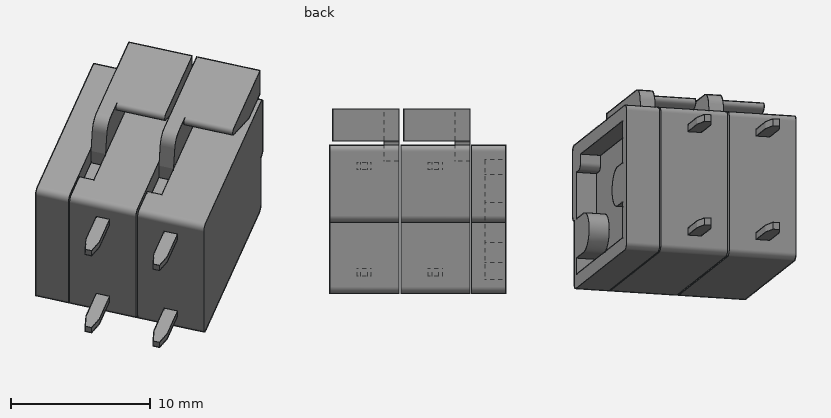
import cadquery as cq
import math


OVERALL_DEPTH = 17.6
BODY_DEPTH = 14.12
BODY_HEIGHT = 10.61
EDGE_RADIUS = 0.45
BACK_STEP = 0.45
BACK_STEP_Z = 5.09

HOUSING_COUNT = 2
HOUSING_WIDTH = 4.96
HOUSING_PITCH = 5.09
PLATE_WIDTH = 2.46
PLATE_GAP = 0.09
FIRST_HOUSING_X = PLATE_WIDTH + PLATE_GAP

WALL = 1.02
POCKET_DEPTH = 1.5
TONGUE_WIDTH = 2.87
BACK_TONGUE_Z = 3.65
BACK_TONGUE_LENGTH = 3.35
FRONT_TONGUE_Z = 5.09
FRONT_TONGUE_LENGTH = 2.75
CORNER_BLOCK_SIZE = 1.1

LEVER_TOP = 13.2
LEVER_WIDTH = 4.75
ARM_WIDTH = 1.1
ARM_BACK_Y = 10.75
ARM_TOP_Y = 5.56
ARM_FRONT_Y = 5.1
ARM_TOP_RADIUS = 1.02
HEAD_BOTTOM = 10.9
HEAD_NOSE_Y = 7.55
HEAD_NOSE_RADIUS = 0.3
HEAD_SLOPE_ANGLE = 65.0
NECK_RADIUS = 0.18

SLOT_FRONT_Y = 2.32
SLOT_DEPTH = 1.15
SLOT_FLOOR = BODY_HEIGHT - SLOT_DEPTH

PIN_WIDTH = 1.0
PIN_OFFSET = 2.5
PIN_TIP_WIDTH = 0.5
PIN_THICKNESS = 0.51
PIN_LENGTH = OVERALL_DEPTH - BODY_DEPTH
PIN_TAPER_LENGTH = 1.02
PIN_HEIGHTS = (1.53, 9.12)


def side_sketch(x):
    """Sketch plane facing +X at the given X; its coordinates are (Y, Z)."""
    return cq.Workplane("YZ", origin=(x, 0, 0))


def body_block(x, width):
    """Rounded block with the stepped back face shared by plate and housings."""
    lower_back_y = BODY_DEPTH - BACK_STEP
    return (
        side_sketch(x)
        .moveTo(0, 0)
        .lineTo(lower_back_y, 0)
        .lineTo(lower_back_y, BACK_STEP_Z)
        .radiusArc((BODY_DEPTH, BACK_STEP_Z + BACK_STEP), -BACK_STEP)
        .lineTo(BODY_DEPTH, BODY_HEIGHT)
        .lineTo(0, BODY_HEIGHT)
        .close()
        .extrude(width)
        .edges("|X and (<Z or >Z)")
        .fillet(EDGE_RADIUS)
    )


def tongue(root_y, length, direction, z):
    """Round-ended tongue that reaches from a pocket wall into the pocket."""
    radius = TONGUE_WIDTH / 2
    round_y = root_y + direction * (length - radius)
    bar = (
        side_sketch(0)
        .center((root_y + round_y) / 2, z)
        .rect(abs(round_y - root_y), TONGUE_WIDTH)
        .extrude(POCKET_DEPTH)
    )
    return bar.union(side_sketch(0).center(round_y, z).circle(radius).extrude(POCKET_DEPTH))


def make_end_plate():
    pocket_back_y = BODY_DEPTH - WALL
    pocket_top = BODY_HEIGHT - WALL
    pocket = cq.Workplane("XY").box(
        POCKET_DEPTH, pocket_back_y - WALL, pocket_top - WALL, centered=False
    ).translate((0, WALL, WALL))
    corner_block = (
        cq.Workplane("XY")
        .box(POCKET_DEPTH, CORNER_BLOCK_SIZE, CORNER_BLOCK_SIZE, centered=False)
        .translate((0, pocket_back_y - CORNER_BLOCK_SIZE, pocket_top - CORNER_BLOCK_SIZE))
        .edges("|X and <Y and <Z")
        .fillet(EDGE_RADIUS)
    )
    pocket = (
        pocket.cut(corner_block)
        .cut(tongue(pocket_back_y, BACK_TONGUE_LENGTH, -1, BACK_TONGUE_Z))
        .cut(tongue(WALL, FRONT_TONGUE_LENGTH, 1, FRONT_TONGUE_Z))
    )
    return body_block(0, PLATE_WIDTH).cut(pocket)


def make_housing(x):
    slot = cq.Workplane("XY").box(
        ARM_WIDTH, ARM_BACK_Y - SLOT_FRONT_Y, SLOT_DEPTH, centered=False
    ).translate((x, SLOT_FRONT_Y, SLOT_FLOOR))
    return body_block(x, HOUSING_WIDTH).cut(slot)


def lever_arm(x):
    """Narrow arm that stands in the housing slot and carries the head."""
    return (
        side_sketch(x)
        .moveTo(ARM_FRONT_Y, SLOT_FLOOR)
        .lineTo(ARM_BACK_Y, SLOT_FLOOR)
        .lineTo(ARM_BACK_Y, HEAD_BOTTOM - NECK_RADIUS)
        .radiusArc((ARM_BACK_Y + NECK_RADIUS, HEAD_BOTTOM), NECK_RADIUS)
        .lineTo(BODY_DEPTH, HEAD_BOTTOM)
        .lineTo(BODY_DEPTH, LEVER_TOP)
        .lineTo(ARM_TOP_Y, LEVER_TOP)
        .lineTo(ARM_FRONT_Y, BODY_HEIGHT)
        .close()
        .extrude(ARM_WIDTH)
        .edges("|X and >Z")
        .edges("<Y")
        .fillet(ARM_TOP_RADIUS)
    )


def lever_head(x):
    """Wide finger plate with a rounded nose and a sloping front below it."""
    tilt = math.radians(HEAD_SLOPE_ANGLE)
    nose_centre_y = HEAD_NOSE_Y + HEAD_NOSE_RADIUS
    nose_centre_z = LEVER_TOP - HEAD_NOSE_RADIUS
    slope_top_y = nose_centre_y - HEAD_NOSE_RADIUS * math.cos(tilt)
    slope_top_z = nose_centre_z - HEAD_NOSE_RADIUS * math.sin(tilt)
    slope_bottom_y = slope_top_y + (slope_top_z - HEAD_BOTTOM) * math.tan(tilt)
    return (
        side_sketch(x)
        .moveTo(BODY_DEPTH, HEAD_BOTTOM)
        .lineTo(BODY_DEPTH, LEVER_TOP)
        .lineTo(nose_centre_y, LEVER_TOP)
        .threePointArc((HEAD_NOSE_Y, nose_centre_z), (slope_top_y, slope_top_z))
        .lineTo(slope_bottom_y, HEAD_BOTTOM)
        .close()
        .extrude(LEVER_WIDTH)
    )


def make_lever(x):
    return lever_arm(x).union(lever_head(x))


def make_pin(centre_x, centre_z):
    """Flat pin with a tapered tip, standing on the front face of a housing."""
    half_width = PIN_WIDTH / 2
    half_tip = PIN_TIP_WIDTH / 2
    taper_y = PIN_TAPER_LENGTH - PIN_LENGTH
    return (
        cq.Workplane("XY", origin=(centre_x, 0, centre_z - PIN_THICKNESS / 2))
        .moveTo(-half_width, 0)
        .lineTo(-half_width, taper_y)
        .lineTo(-half_tip, -PIN_LENGTH)
        .lineTo(half_tip, -PIN_LENGTH)
        .lineTo(half_width, taper_y)
        .lineTo(half_width, 0)
        .close()
        .extrude(PIN_THICKNESS)
    )


end_plate = make_end_plate()
housings = []
levers = []
pins = []
for index in range(HOUSING_COUNT):
    housing_x = FIRST_HOUSING_X + index * HOUSING_PITCH
    housings.append(make_housing(housing_x).val())
    levers.append(make_lever(housing_x).val())
    for pin_z in PIN_HEIGHTS:
        pins.append(make_pin(housing_x + PIN_OFFSET, pin_z).val())

result = cq.Compound.makeCompound([end_plate.val(), *housings, *levers, *pins])